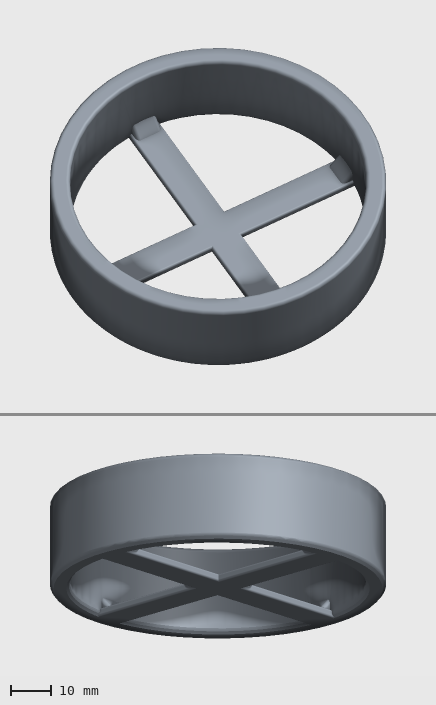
import cadquery as cq

outer_diameter = 83.0
inner_diameter = 73.0
ring_height = 22.0
rim_radius = 1.0
bottom_chamfer = 0.9
bottom_blend_radius = 1.0

spoke_count = 4
spoke_width = 8.4
spoke_thickness = 2.0
spoke_edge_radius = 0.54

gusset_width = 7.05
gusset_size = 3.1
gusset_edge_radius = 1.0

inner_radius = inner_diameter / 2
wall_thickness = (outer_diameter - inner_diameter) / 2
wall_middle_radius = inner_radius + wall_thickness / 2


def make_ring():
    """Tube with a rounded top rim and chamfered bottom edges that blend into the walls."""
    tube = cq.Workplane("XY").circle(outer_diameter / 2).circle(inner_radius).extrude(ring_height)
    tube = tube.faces(">Z").edges().fillet(rim_radius)
    tube = tube.faces("<Z").edges().chamfer(bottom_chamfer)
    chamfer_tops = cq.selectors.BoxSelector(
        (-outer_diameter, -outer_diameter, bottom_chamfer / 2),
        (outer_diameter, outer_diameter, 2 * bottom_chamfer),
    )
    return tube.edges("%CIRCLE").edges(chamfer_tops).fillet(bottom_blend_radius)


def make_cross():
    """Two crossed bars that end inside the ring wall, with rounded long edges."""
    length = 2 * wall_middle_radius
    bar_x = cq.Workplane("XY").rect(length, spoke_width).extrude(spoke_thickness)
    bar_y = cq.Workplane("XY").rect(spoke_width, length).extrude(spoke_thickness)
    return bar_x.union(bar_y).faces("<Z or >Z").edges().fillet(spoke_edge_radius)


def make_gusset():
    """45 degree wedge on the +X spoke, with its two sloping edges rounded."""
    overlap = wall_middle_radius - inner_radius
    wedge = (
        cq.Workplane("XZ")
        .moveTo(inner_radius - gusset_size, spoke_thickness)
        .lineTo(wall_middle_radius, spoke_thickness)
        .line(0, gusset_size + overlap)
        .close()
        .extrude(gusset_width / 2, both=True)
    )
    slope_edges = wedge.faces("<(1,0,-1)").edges("not |Y")
    return slope_edges.fillet(gusset_edge_radius)


result = make_ring().union(make_cross())
gusset = make_gusset()
for spoke_index in range(spoke_count):
    result = result.union(gusset.rotate((0, 0, 0), (0, 0, 1), 360 / spoke_count * spoke_index))